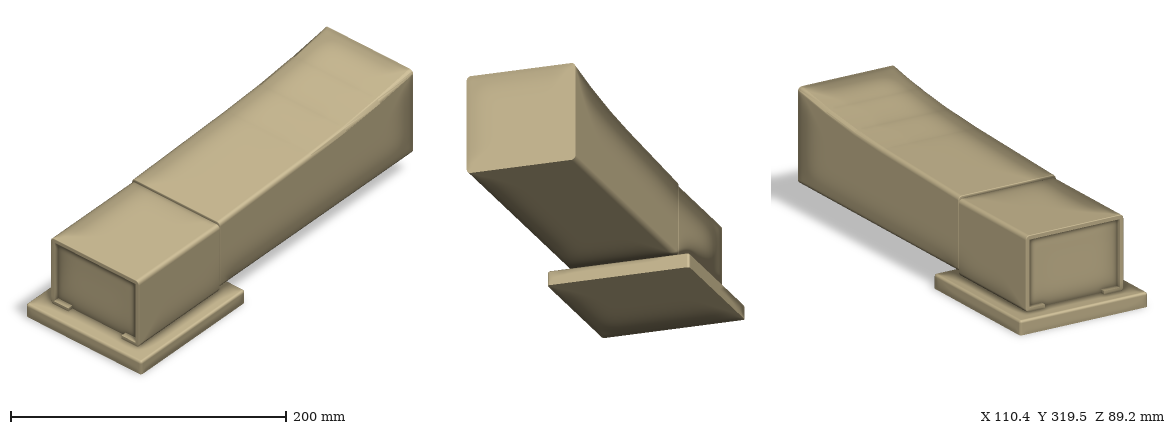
import cadquery as cq

plate_width = 110.41
plate_depth = 116.6
plate_height = 11.4
plate_round = 2.0

overall_length = 319.51
overall_height = 89.2
plate_front = -plate_depth / 2
handle_tip = plate_front + overall_length

body_width = 84.4
body_round = 3.3
end_round = 0.6
plate_front_margin = 12.7
block_front = plate_front + plate_front_margin
block_length = 90.8
block_back = block_front + block_length
block_top = 70.7
block_sink = 0.6
block_bottom = plate_height - block_sink

recess_depth = 4.7
side_wall = 3.1
top_wall = 3.3
lip_height = 2.8
lip_gap = 51.0

handle_clearance = 2.6
handle_bottom = plate_height + handle_clearance
handle_start_top = 72.7
bend_from_tip = 112.8
bend_y = handle_tip - bend_from_tip
bend_top = 76.7


def make_plate():
    plate = cq.Workplane("XY").box(plate_width, plate_depth, plate_height, centered=(True, True, False))
    return plate.edges("|Z or >Z").fillet(plate_round)


def make_block():
    block = (
        cq.Workplane("XY")
        .box(body_width, block_length, block_top - block_bottom, centered=(True, False, False))
        .translate((0, block_front, block_bottom))
    )
    block = block.edges("|Y").fillet(body_round)
    return block.faces("<Y or >Y").edges().fillet(end_round)


def cut_recess(block):
    recess_width = body_width - 2 * side_wall
    recess_bottom = plate_height + lip_height
    recess = (
        cq.Workplane("XY")
        .box(recess_width, recess_depth, block_top - top_wall - recess_bottom, centered=(True, False, False))
        .translate((0, block_front, recess_bottom))
    )
    gap = (
        cq.Workplane("XY")
        .box(lip_gap, recess_depth, lip_height, centered=(True, False, False))
        .translate((0, block_front, plate_height))
    )
    return block.cut(recess).cut(gap)


def make_handle():
    handle = (
        cq.Workplane("YZ")
        .moveTo(block_back, handle_bottom)
        .lineTo(block_back, handle_start_top)
        .lineTo(bend_y, bend_top)
        .tangentArcPoint((handle_tip, overall_height), relative=False)
        .lineTo(handle_tip, handle_bottom)
        .close()
        .extrude(body_width / 2, both=True)
    )
    handle = handle.edges("(<X or >X) and (not |Z)").fillet(body_round)
    return handle.faces("<Y").edges().fillet(end_round)


result = make_plate().union(cut_recess(make_block())).union(make_handle())